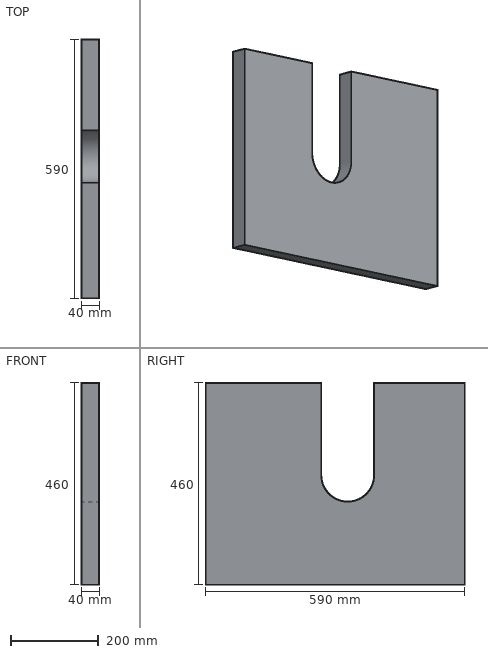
import cadquery as cq

thickness = 40.0
length = 590.0
height = 460.0

slot_width = 120.0
slot_depth = 270.0
slot_offset = 266.5

slot_radius = slot_width / 2
slot_y = length / 2 - slot_offset
top_z = height / 2
slot_bottom_z = top_z - slot_depth
arc_center_z = slot_bottom_z + slot_radius


def make_plate():
    return cq.Workplane("XY").box(thickness, length, height)


def make_slot():
    return (
        cq.Workplane("YZ")
        .moveTo(slot_y - slot_radius, top_z)
        .lineTo(slot_y - slot_radius, arc_center_z)
        .threePointArc((slot_y, slot_bottom_z), (slot_y + slot_radius, arc_center_z))
        .lineTo(slot_y + slot_radius, top_z)
        .close()
        .extrude(thickness / 2, both=True)
    )


result = make_plate().cut(make_slot())